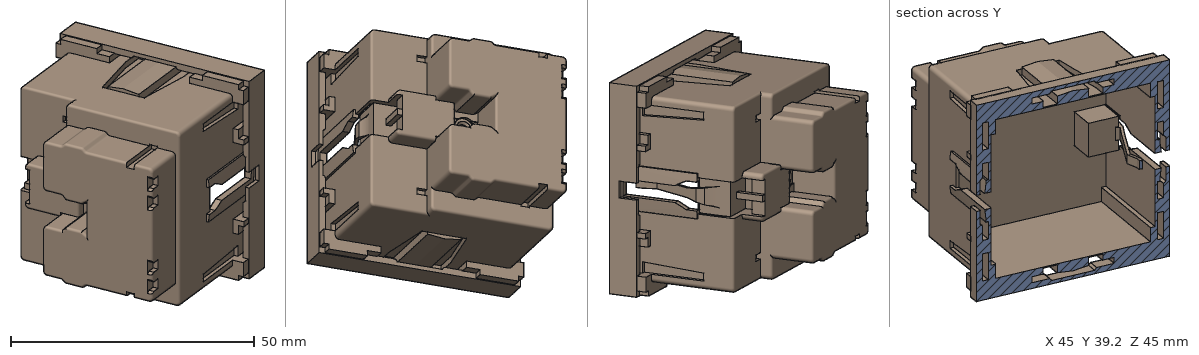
import cadquery as cq

PLATE_SIZE = 45.0
PLATE_DEPTH = 6.25
RIM_INNER_HALF = 21.05
GROOVE_FLOOR_DEPTH = 1.12
RELIEF_INNER_HALF = 5.0
RELIEF_OUTER_HALF = 5.45
RELIEF_REACH = 21.6

SHELL_HALF = 19.8
SHELL_DEPTH_LOW = 27.2
SHELL_DEPTH_HIGH = 29.85
STEP_X = -7.4
CORNER_RADIUS = 0.95
BACK_RADIUS = 0.55
CAVITY_HALF_X = 19.1
CAVITY_HALF_Z = 18.1
CAVITY_CORNER_X = 18.0
CAVITY_CORNER_Z = 14.85
CAVITY_DEPTH = 24.95

TAB_HALF = 22.3
TAB_DEPTH = 8.32
TAB_LEG_END_Z = 18.0
TAB_HIGH_END_X = 12.55
TAB_LOW_END_X = 9.55
TAB_NOTCH = 1.12
TAB_LOW_HALF = TAB_HALF - TAB_NOTCH
HOOK_DEPTH = 8.15
HOOK_Z_MIN = 8.75
HOOK_Z_MAX = 11.92
HOOK_FOOT_Z_MAX = 9.9

BULGE_DEPTH = 19.0
BULGE_CREST = 20.65
SIDE_BULGE_HALF = 4.8
TOP_BULGE_HALF = 3.7
BULGE_EDGE = 20.25
WEDGE_FRONT_HALF = 6.9
WEDGE_BACK_HALF = 5.0
WEDGE_RECESS = 1.35
SIDE_RECESS_TOP_Z = 18.0
SIDE_RECESS_FRONT_Z = 15.55
SIDE_RECESS_BACK_Z = 16.3
SIDE_RECESS_DEPTH = 20.25
SIDE_RECESS = 0.9

SLOT_START_DEPTH = 2.25
SLOT_HALF = 1.8
SLOT_FLARE_START = 14.1
SLOT_FLARE_END = 16.65
SLOT_FLARE_HALF = 3.05
SLOT_END_DEPTH = 17.6

TERMINAL_DEPTH = 39.2
TERMINAL_HALF_Z = 15.2
TERMINAL_END_X = 18.8
PAD_HEIGHT_Z = 15.95
PAD_HALF_TOP = 2.05
PAD_HALF_BASE = 2.92
BAY_WIDE_HALF = 4.05
BAY_NECK_HALF = 3.1
BAY_WIDE_END_X = -2.85
BAY_NECK_START_X = -2.0
BAY_NECK_END_X = 1.9
BAY_END_X = 2.92
BAY_END_HALF = 3.75
PAD_RADIUS = 0.7
SNAP_GROOVE_X = (12.55, 14.45)
SNAP_GROOVE_Z = (14.18, 15.52)
SNAP_WINDOW_X_MIN = -9.55
SNAP_WINDOW_DEPTH = 0.9
END_NOTCH_CENTERS_Z = (11.7, 7.35)
END_NOTCH_WIDTH = 3.25
END_NOTCH = 1.15
END_NOTCH_LENGTH = 2.25

COVER_DEPTH = 31.85
COVER_START_X = -15.98
COVER_END_X = -3.05
COVER_HALF = 5.1
SEAT_CHANNEL_HALF = 1.6
SEAT_CHANNEL_DEPTH = 0.35
SEAT_DEPTH = 0.7
SEAT_RADIUS = 2.15
SCREW_RIM_RADIUS = 1.58
SCREW_HOLE_RADIUS = 1.05
SCREW_HOLE_DEPTH = 2.25

LATCH_HALF = 3.85
LATCH_FACE_X = -18.75
LATCH_INNER_X = -11.7
OPENING_END_X = -14.8
UNDERCUT_DEPTH = 28.9
LATCH_DEPTH = 25.85
LATCH_START_DEPTH = 18.8
RIB_START_X = -15.98
RIB_HALF = 0.68
LEAF_THICKNESS = 0.7
LEAF_TIP_DEPTH = 3.0
LEAF_BEND_DEPTH = 4.55
LEAF_STRAIGHT_DEPTH = 7.35
LEAF_CREST_DEPTH = 18.45
LEAF_SHOULDER_DEPTH = 20.4
LEAF_ROOT_DEPTH = 22.25
LEAF_ROOT_X = -18.95
LEAF_END_DEPTH = 23.4
LEAF_TIP_X = -16.2
LEAF_LOW_X = -15.3
LEAF_CREST_X = -19.6
LEAF_HALF = 1.05
LEAF_FLARE_DEPTH = 15.95
LEAF_END_HALF = 2.3


def box(x_range, depth_range, z_range):
    """Box between two X values, two depths behind the front face, and two Z values."""
    x_min, x_max = x_range
    near, far = depth_range
    z_min, z_max = z_range
    return cq.Workplane("XY").box(x_max - x_min, far - near, z_max - z_min, centered=False).translate(
        (x_min, -far, z_min)
    )


def prism(outline, near, far):
    """Outline of (X, Z) points extruded toward -Y from one depth to another."""
    return cq.Workplane("XZ", origin=(0, -near, 0)).polyline(outline).close().extrude(far - near)


def with_mirror(shape, plane):
    """The shape together with its mirror image."""
    return shape.union(shape.mirror(plane))


def four_fold(shape):
    """The shape repeated in all four X/Z quadrants."""
    return with_mirror(with_mirror(shape, "YZ"), "XY")


def rounded_step(x_min, depth):
    """One step of the shell, rounded along Y and around its back face."""
    step = box((x_min, SHELL_HALF), (0, depth), (-SHELL_HALF, SHELL_HALF))
    return step.edges("|Y").fillet(CORNER_RADIUS).faces("<Y").edges().fillet(BACK_RADIUS)


def front_plate():
    """Square plate with a groove in its back, widened at the middle of each side."""
    half = PLATE_SIZE / 2
    plate = box((-half, half), (0, PLATE_DEPTH), (-half, half))
    groove = box(
        (-RIM_INNER_HALF, RIM_INNER_HALF),
        (GROOVE_FLOOR_DEPTH, PLATE_DEPTH),
        (-RIM_INNER_HALF, RIM_INNER_HALF),
    )
    relief = prism(
        [
            (-RELIEF_OUTER_HALF, RIM_INNER_HALF),
            (-RELIEF_INNER_HALF, RELIEF_REACH),
            (RELIEF_INNER_HALF, RELIEF_REACH),
            (RELIEF_OUTER_HALF, RIM_INNER_HALF),
        ],
        GROOVE_FLOOR_DEPTH,
        PLATE_DEPTH,
    )
    plate = plate.cut(groove)
    for quarter in range(4):
        plate = plate.cut(relief.rotate((0, 0, 0), (0, 1, 0), 90 * quarter))
    return plate


def corner_tabs():
    """L-shaped tabs behind the four plate corners, each with a notched corner and a lower end."""
    tab = prism(
        [
            (TAB_LOW_END_X, SHELL_HALF - CORNER_RADIUS),
            (TAB_LOW_END_X, TAB_LOW_HALF),
            (TAB_HIGH_END_X, TAB_LOW_HALF),
            (TAB_HIGH_END_X, TAB_HALF),
            (TAB_LOW_HALF, TAB_HALF),
            (TAB_LOW_HALF, TAB_LOW_HALF),
            (TAB_HALF, TAB_LOW_HALF),
            (TAB_HALF, TAB_LEG_END_Z),
            (SHELL_HALF - SIDE_RECESS, TAB_LEG_END_Z),
            (SHELL_HALF - SIDE_RECESS, SHELL_HALF - CORNER_RADIUS),
        ],
        GROOVE_FLOOR_DEPTH,
        TAB_DEPTH,
    )
    return four_fold(tab)


def side_hooks():
    """L-shaped hooks behind the plate on both X sides."""
    hook = prism(
        [
            (SHELL_HALF, HOOK_Z_MIN),
            (TAB_HALF, HOOK_Z_MIN),
            (TAB_HALF, HOOK_FOOT_Z_MAX),
            (RIM_INNER_HALF, HOOK_FOOT_Z_MAX),
            (RIM_INNER_HALF, HOOK_Z_MAX),
            (SHELL_HALF, HOOK_Z_MAX),
        ],
        GROOVE_FLOOR_DEPTH,
        HOOK_DEPTH,
    )
    return four_fold(hook)


def bulge(half_width, ridged):
    """Strip along Y on the +Z side of the shell, its top either ridged or arched."""
    root = SHELL_HALF - WEDGE_RECESS
    crest = (0, BULGE_CREST)
    far_edge = (half_width, BULGE_EDGE)
    outline = (
        cq.Workplane("XZ", origin=(0, -GROOVE_FLOOR_DEPTH, 0))
        .moveTo(-half_width, root)
        .lineTo(-half_width, BULGE_EDGE)
    )
    if ridged:
        outline = outline.lineTo(*crest).lineTo(*far_edge)
    else:
        outline = outline.threePointArc(crest, far_edge)
    return outline.lineTo(half_width, root).close().extrude(BULGE_DEPTH - GROOVE_FLOOR_DEPTH)


def wedge_recesses():
    """Shallow tapering recesses around the bulges on the two Z sides."""
    recess = (
        cq.Workplane("XY", origin=(0, 0, SHELL_HALF - WEDGE_RECESS))
        .polyline(
            [
                (-WEDGE_FRONT_HALF, -GROOVE_FLOOR_DEPTH),
                (-WEDGE_FRONT_HALF, -PLATE_DEPTH),
                (-WEDGE_BACK_HALF, -BULGE_DEPTH),
                (WEDGE_BACK_HALF, -BULGE_DEPTH),
                (WEDGE_FRONT_HALF, -PLATE_DEPTH),
                (WEDGE_FRONT_HALF, -GROOVE_FLOOR_DEPTH),
            ]
        )
        .close()
        .extrude(WEDGE_RECESS)
    )
    return with_mirror(recess, "XY")


def side_recesses():
    """Long tapering recesses near the corners of the two X sides."""
    recess = (
        cq.Workplane("YZ", origin=(SHELL_HALF - SIDE_RECESS, 0, 0))
        .polyline(
            [
                (-PLATE_DEPTH, SIDE_RECESS_TOP_Z),
                (-SIDE_RECESS_DEPTH, SIDE_RECESS_TOP_Z),
                (-SIDE_RECESS_DEPTH, SIDE_RECESS_BACK_Z),
                (-PLATE_DEPTH, SIDE_RECESS_FRONT_Z),
            ]
        )
        .close()
        .extrude(SIDE_RECESS)
    )
    return four_fold(recess)


def side_slots():
    """Flared slots through the rim, the bulges and the shell on both X sides."""
    upper = [
        (-SLOT_START_DEPTH, SLOT_HALF),
        (-SLOT_FLARE_START, SLOT_HALF),
        (-SLOT_FLARE_END, SLOT_FLARE_HALF),
        (-SLOT_END_DEPTH, SLOT_FLARE_HALF),
    ]
    lower = [(y, -z) for y, z in reversed(upper)]
    slots = cq.Workplane("YZ").polyline(upper + lower).close().extrude(PLATE_SIZE / 2, both=True)
    bulge_end = box(
        (SHELL_HALF, BULGE_CREST), (SLOT_END_DEPTH, BULGE_DEPTH), (-SLOT_FLARE_HALF, SLOT_FLARE_HALF)
    )
    return slots.union(with_mirror(bulge_end, "YZ"))


def latch_opening():
    """Opening in the -X side and the cover's end, undercut below the cover, into which the latch fits."""
    slot_end = box(
        (-SHELL_HALF, -CAVITY_HALF_X), (SLOT_END_DEPTH, BULGE_DEPTH), (-SLOT_FLARE_HALF, SLOT_FLARE_HALF)
    )
    opening = box((-BULGE_CREST, OPENING_END_X), (BULGE_DEPTH, COVER_DEPTH), (-LATCH_HALF, LATCH_HALF))
    undercut = box((OPENING_END_X, LATCH_INNER_X), (CAVITY_DEPTH, UNDERCUT_DEPTH), (-LATCH_HALF, LATCH_HALF))
    return slot_end.union(opening).union(undercut)


def end_notch(center):
    """Notch in the terminal block's +X end, its walls flared at the back face."""
    mouth = END_NOTCH_WIDTH / 2
    throat = mouth - BACK_RADIUS
    half = [
        (-TERMINAL_DEPTH + END_NOTCH_LENGTH, throat),
        (-TERMINAL_DEPTH + BACK_RADIUS, throat),
        (-TERMINAL_DEPTH, mouth),
    ]
    other_half = [(y, -z) for y, z in reversed(half)]
    return (
        cq.Workplane("YZ", origin=(TERMINAL_END_X - END_NOTCH, 0, center))
        .polyline(half + other_half)
        .close()
        .extrude(END_NOTCH)
    )


def terminal_block():
    """Block on the higher step with raised pads, an open bay and end notches."""
    upper = [
        (STEP_X, BAY_WIDE_HALF),
        (STEP_X, TERMINAL_HALF_Z),
        (-PAD_HALF_BASE, TERMINAL_HALF_Z),
        (-PAD_HALF_TOP, PAD_HEIGHT_Z),
        (PAD_HALF_TOP, PAD_HEIGHT_Z),
        (PAD_HALF_BASE, TERMINAL_HALF_Z),
        (TERMINAL_END_X, TERMINAL_HALF_Z),
    ]
    bay_upper = [
        (BAY_END_X, BAY_END_HALF),
        (BAY_NECK_END_X, BAY_NECK_HALF),
        (BAY_NECK_START_X, BAY_NECK_HALF),
        (BAY_WIDE_END_X, BAY_WIDE_HALF),
    ]
    lower = [(x, -z) for x, z in reversed(upper)]
    bay_lower = [(x, -z) for x, z in reversed(bay_upper)]
    block = prism(upper + lower + bay_lower + bay_upper, CAVITY_DEPTH, TERMINAL_DEPTH)
    block = block.edges("|Y and <X").fillet(CORNER_RADIUS)
    block = block.edges("|Y and >X").fillet(CORNER_RADIUS)
    for side in (-1, 1):
        pad_edges = cq.selectors.BoxSelector(
            (STEP_X / 2, -TERMINAL_DEPTH, side * BAY_WIDE_HALF),
            (-STEP_X / 2, 0, side * SHELL_HALF),
        )
        block = block.edges("|Y").edges(pad_edges).fillet(PAD_RADIUS)
    block = block.faces("<Y").edges().fillet(BACK_RADIUS)
    for center in END_NOTCH_CENTERS_Z:
        block = block.cut(with_mirror(end_notch(center), "XY"))
    return block


def snap_grooves():
    """Grooves across the terminal block's Z sides, ending in a window in the higher step."""
    groove = box(SNAP_GROOVE_X, (SHELL_DEPTH_HIGH - SNAP_WINDOW_DEPTH, TERMINAL_DEPTH), SNAP_GROOVE_Z)
    return with_mirror(groove, "XY")


def snap_windows():
    """Windows in the lower step's back face beside the terminal block."""
    window = box(
        (SNAP_WINDOW_X_MIN, STEP_X), (SHELL_DEPTH_LOW - SNAP_WINDOW_DEPTH, SHELL_DEPTH_LOW), SNAP_GROOVE_Z
    )
    return with_mirror(window, "XY")


def cover():
    """Raised cover reaching from the latch into the terminal block's bay."""
    wide = box((COVER_START_X, STEP_X), (CAVITY_DEPTH, COVER_DEPTH), (-COVER_HALF, COVER_HALF))
    wide = wide.edges("|Y and <X").fillet(CORNER_RADIUS).faces("<Y").edges("not >X").fillet(BACK_RADIUS)
    inner = box((STEP_X, COVER_END_X), (CAVITY_DEPTH, COVER_DEPTH), (-BAY_WIDE_HALF, BAY_WIDE_HALF))
    inner = inner.faces("<Y").edges(">X").fillet(BACK_RADIUS)
    return wide.union(inner)


def cavity():
    """Plus-shaped cavity, open at the front face."""
    wide = box((-CAVITY_HALF_X, CAVITY_HALF_X), (0, CAVITY_DEPTH), (-CAVITY_CORNER_Z, CAVITY_CORNER_Z))
    tall = box((-CAVITY_CORNER_X, CAVITY_CORNER_X), (0, CAVITY_DEPTH), (-CAVITY_HALF_Z, CAVITY_HALF_Z))
    return wide.union(tall)


def screw_seat():
    """Cutter for the channel, round seat and countersunk blind hole in the bay floor."""
    channel = box(
        (COVER_END_X, BAY_END_X),
        (SHELL_DEPTH_HIGH - SEAT_CHANNEL_DEPTH, SHELL_DEPTH_HIGH),
        (-SEAT_CHANNEL_HALF, SEAT_CHANNEL_HALF),
    )
    seat_depth = SHELL_DEPTH_HIGH - SEAT_DEPTH
    seat = cq.Workplane("XZ", origin=(0, -seat_depth, 0)).circle(SEAT_RADIUS).extrude(SEAT_DEPTH)
    hole = (
        cq.Workplane("XZ", origin=(0, -seat_depth, 0)).circle(SCREW_HOLE_RADIUS).extrude(-SCREW_HOLE_DEPTH)
    )
    countersink = cq.Workplane("XY").add(
        cq.Solid.makeCone(
            SCREW_RIM_RADIUS,
            SCREW_HOLE_RADIUS,
            SCREW_RIM_RADIUS - SCREW_HOLE_RADIUS,
            pnt=cq.Vector(0, -seat_depth, 0),
            dir=cq.Vector(0, 1, 0),
        )
    )
    return channel.union(seat).union(hole).union(countersink)


def make_housing():
    """Hollow housing: plate, stepped shell, tabs, bulges and terminal block in one piece."""
    shell = rounded_step(-SHELL_HALF, SHELL_DEPTH_LOW).union(rounded_step(STEP_X, SHELL_DEPTH_HIGH))
    shell = shell.cut(wedge_recesses()).cut(side_recesses())
    top_bulge = bulge(TOP_BULGE_HALF, ridged=True)
    side_bulge = bulge(SIDE_BULGE_HALF, ridged=False).rotate((0, 0, 0), (0, 1, 0), 90)
    housing = front_plate().union(shell)
    housing = housing.union(with_mirror(top_bulge, "XY")).union(with_mirror(side_bulge, "YZ"))
    housing = housing.union(corner_tabs()).union(side_hooks())
    housing = housing.union(terminal_block()).union(cover())
    housing = housing.cut(cavity()).cut(side_slots()).cut(latch_opening())
    return housing.cut(snap_grooves()).cut(snap_windows()).cut(screw_seat())


def spring_leaf():
    """Bent leaf rising from the latch block and reaching forward, flared toward its root."""
    profile = (
        cq.Workplane("XY", origin=(0, 0, -LATCH_HALF))
        .moveTo(LATCH_FACE_X, -LEAF_END_DEPTH)
        .threePointArc((LEAF_ROOT_X, -LEAF_ROOT_DEPTH), (LEAF_CREST_X, -LEAF_SHOULDER_DEPTH))
        .lineTo(LEAF_CREST_X, -LEAF_CREST_DEPTH)
        .lineTo(LEAF_LOW_X, -LEAF_STRAIGHT_DEPTH)
        .lineTo(LEAF_TIP_X, -LEAF_BEND_DEPTH)
        .lineTo(LEAF_TIP_X, -LEAF_TIP_DEPTH)
        .lineTo(LEAF_TIP_X + LEAF_THICKNESS, -LEAF_TIP_DEPTH)
        .lineTo(LEAF_TIP_X + LEAF_THICKNESS, -LEAF_BEND_DEPTH)
        .lineTo(LEAF_LOW_X + LEAF_THICKNESS, -LEAF_STRAIGHT_DEPTH)
        .lineTo(LEAF_CREST_X + LEAF_THICKNESS, -LEAF_CREST_DEPTH)
        .lineTo(LATCH_FACE_X + LEAF_THICKNESS, -LATCH_START_DEPTH)
        .lineTo(LATCH_FACE_X + LEAF_THICKNESS, -LEAF_END_DEPTH)
        .close()
        .extrude(2 * LATCH_HALF)
    )
    width = (
        cq.Workplane("YZ")
        .polyline(
            [
                (-LEAF_TIP_DEPTH, LEAF_HALF),
                (-LEAF_FLARE_DEPTH, LEAF_HALF),
                (-LEAF_END_DEPTH, LEAF_END_HALF),
                (-LEAF_END_DEPTH, -LEAF_END_HALF),
                (-LEAF_FLARE_DEPTH, -LEAF_HALF),
                (-LEAF_TIP_DEPTH, -LEAF_HALF),
            ]
        )
        .close()
        .extrude(-PLATE_SIZE / 2)
    )
    return profile.intersect(width)


def make_latch():
    """Latch: a block filling the opening, a rib along the cover's end and a spring leaf."""
    block = box((LATCH_FACE_X, LATCH_INNER_X), (LATCH_START_DEPTH, LATCH_DEPTH), (-LATCH_HALF, LATCH_HALF))
    rib = box((RIB_START_X, OPENING_END_X), (LATCH_DEPTH, COVER_DEPTH), (-RIB_HALF, RIB_HALF))
    return block.union(rib).union(spring_leaf())


housing = make_housing()
latch = make_latch()
result = cq.Compound.makeCompound([housing.solids().val(), latch.solids().val()])